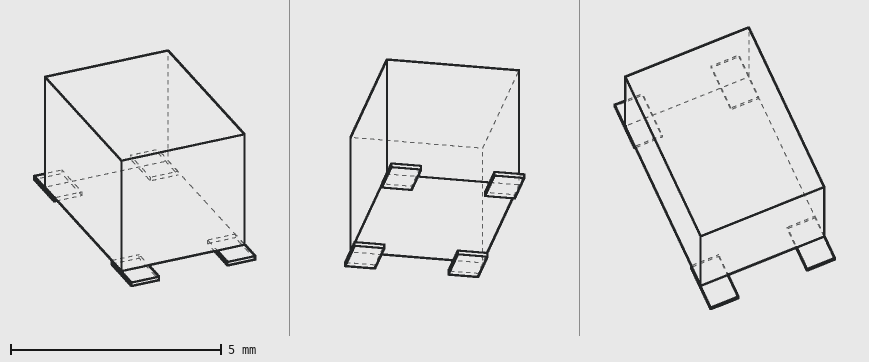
import cadquery as cq

overall_length = 5.72
overall_width = 3.22
overall_height = 3.1

terminal_length = 1.18
terminal_width = 0.72
terminal_thickness = 0.1

body_length = 4.5
body_width = 3.205
body_height = overall_height - terminal_thickness


def make_body():
    """Plain block resting on the top faces of the terminals."""
    return (
        cq.Workplane("XY", origin=(0, 0, terminal_thickness))
        .rect(body_length, body_width)
        .extrude(body_height)
    )


def make_terminal(x_side, y_side):
    """Flat terminal in the corner given by the signs of X and Y."""
    center_x = x_side * (overall_length - terminal_length) / 2
    center_y = y_side * (overall_width - terminal_width) / 2
    return (
        cq.Workplane("XY", origin=(center_x, center_y, 0))
        .rect(terminal_length, terminal_width)
        .extrude(terminal_thickness)
    )


body = make_body()
terminals = [make_terminal(x_side, y_side) for x_side in (-1, 1) for y_side in (-1, 1)]

result = cq.Compound.makeCompound([body.val(), *[terminal.val() for terminal in terminals]])